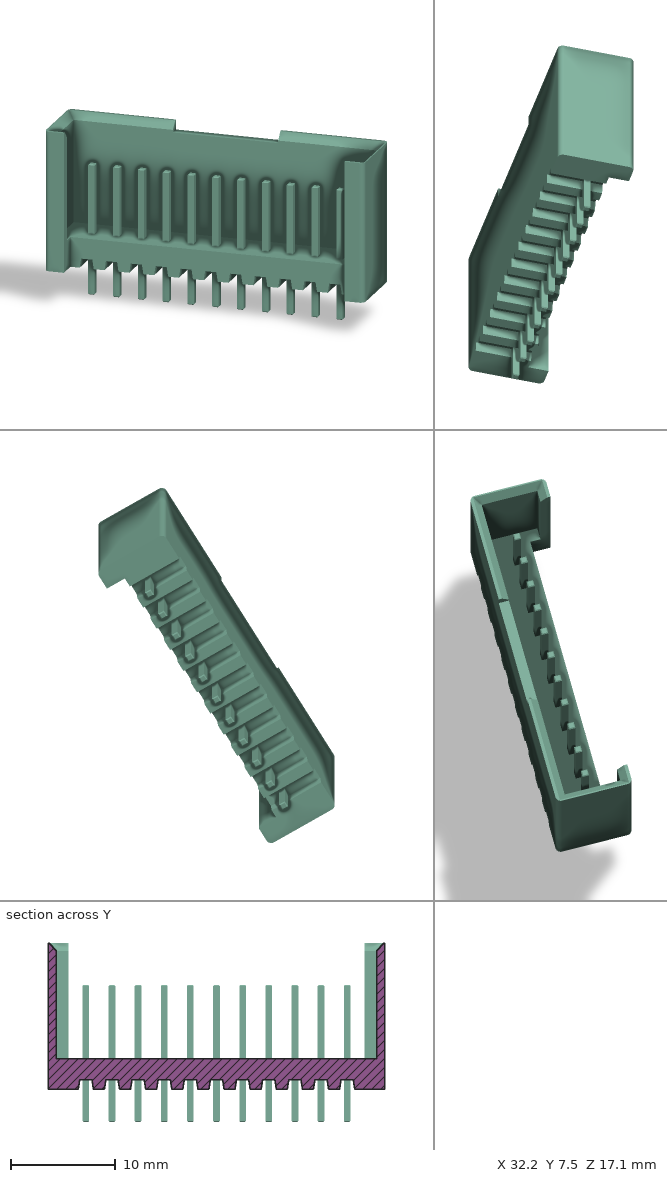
import cadquery as cq

length = 32.2
depth = 7.5
height = 14.0
corner_radius = 0.5

floor_height = 3.0
end_wall = 0.8
long_wall = 1.0
rim_flare = 0.68
rim_height = 0.75

lip_width = 1.95
front_recess = 2.0
notch_width = 10.6
notch_depth = 1.0

pin_count = 11
pin_row_length = 25.0
pin_width = 0.65
pin_top = 10.0
pin_tail = 3.1
pin_tip_chamfer = 0.1

slot_height = 0.93
slot_top_width = 1.13
slot_bottom_width = 1.42

cavity_length = length - 2 * end_wall
cavity_depth = depth - 2 * long_wall
front_y = -depth / 2
pin_pitch = pin_row_length / (pin_count - 1)
pin_positions = [i * pin_pitch - pin_row_length / 2 for i in range(pin_count)]


def housing_block():
    """Solid block with rounded vertical edges."""
    block = cq.Workplane("XY").box(length, depth, height, centered=(True, True, False))
    return block.edges("|Z").fillet(corner_radius)


def cavity():
    """Rectangular well whose rim widens towards the top."""
    well = (
        cq.Workplane("XY", origin=(0, 0, floor_height))
        .rect(cavity_length, cavity_depth)
        .extrude(height - floor_height)
    )
    rim = (
        cq.Workplane("XY", origin=(0, 0, height - rim_height))
        .rect(cavity_length, cavity_depth)
        .workplane(offset=rim_height)
        .rect(cavity_length + 2 * rim_flare, cavity_depth + 2 * rim_flare)
        .loft(ruled=True)
    )
    return well.union(rim)


def front_opening():
    """Full-height recess in the front, leaving a lip at each end."""
    return cq.Workplane("XY", origin=(0, front_y, 0)).box(
        length - 2 * lip_width, front_recess, height, centered=(True, False, False)
    )


def back_notch():
    """Shallow notch in the middle of the back wall's top edge."""
    return cq.Workplane("XY", origin=(0, depth / 2 - long_wall, height - notch_depth)).box(
        notch_width, long_wall, notch_depth, centered=(True, False, False)
    )


def slot(x):
    """Trapezoidal slot running front to back under the floor."""
    outline = [
        (x - slot_bottom_width / 2, 0),
        (x - slot_top_width / 2, slot_height),
        (x + slot_top_width / 2, slot_height),
        (x + slot_bottom_width / 2, 0),
    ]
    return cq.Workplane("XZ").polyline(outline).close().extrude(depth / 2, both=True)


def pin(x):
    """Square pin with chamfered tips at both ends."""
    post = cq.Workplane("XY", origin=(x, 0, -pin_tail)).box(
        pin_width, pin_width, pin_top + pin_tail, centered=(True, True, False)
    )
    return post.faces("<Z or >Z").chamfer(pin_tip_chamfer)


result = housing_block().cut(cavity()).cut(front_opening()).cut(back_notch())
for x in pin_positions:
    result = result.cut(slot(x)).union(pin(x))